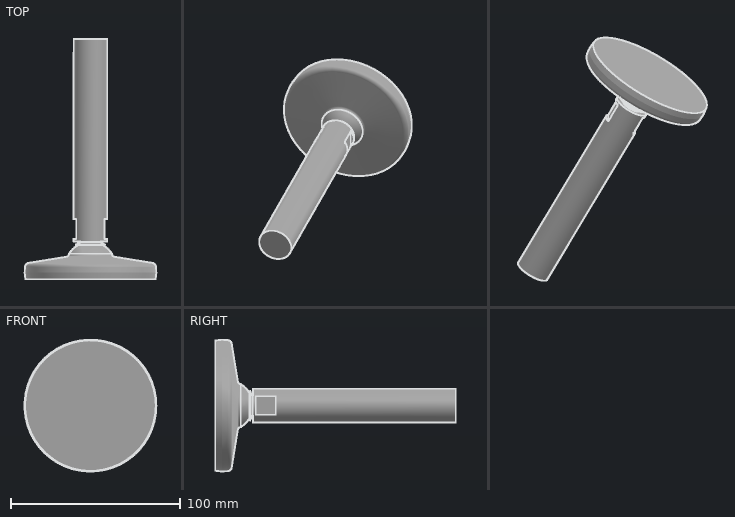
import cadquery as cq
import math

TOTAL_LENGTH = 142.0
UNDERSIDE_Y = -TOTAL_LENGTH / 2

FOOT_RADIUS = 78.0 / 2
FOOT_EDGE_RADIUS = 38.5
RIM_WIDEST_HEIGHT = 4.0
RIM_TOP_RADIUS = 38.8
RIM_TOP_HEIGHT = 7.0
SHOULDER_RADIUS = 35.9
SHOULDER_HEIGHT = 10.0
CONE_TOP_RADIUS = 14.0
CONE_TOP_HEIGHT = 13.5
DOME_BASE_HEIGHT = 15.0
DOME_SPHERE_RADIUS = 14.9
DOME_CENTER_HEIGHT = 7.4
SEAT_HEIGHT = 20.2

STEM_RADIUS = 20.0 / 2
STEM_START_HEIGHT = 22.3
NECK_RADIUS = 6.0
NECK_LENGTH = 0.4
COLLAR_RADIUS = 8.8
COLLAR_HEIGHT = 20.6
COLLAR_SEAT_RADIUS = 7.7
FLAT_HALF_WIDTH = 8.4
FLAT_START_HEIGHT = 24.0
FLAT_LENGTH = 11.6


def dome_radius(height):
    """Radius of the dome's sphere at a height above the underside."""
    return math.sqrt(DOME_SPHERE_RADIUS**2 - (height - DOME_CENTER_HEIGHT) ** 2)


def revolve_about_axis(profile):
    """Turn a closed (radius, height) profile about Y and place it along the part."""
    return profile.close().revolve(360, (0, 0), (0, 1)).translate((0, UNDERSIDE_Y, 0))


def make_foot():
    """Round foot: bulged rim, rounded shoulder, shallow cone and filleted domed hub."""
    dome_middle_height = (DOME_BASE_HEIGHT + SEAT_HEIGHT) / 2
    round_depth = RIM_TOP_RADIUS - SHOULDER_RADIUS
    round_height = SHOULDER_HEIGHT - RIM_TOP_HEIGHT
    round_middle = (
        SHOULDER_RADIUS + round_depth * math.sin(math.pi / 4),
        RIM_TOP_HEIGHT + round_height * math.sin(math.pi / 4),
    )
    profile = (
        cq.Workplane("XY")
        .lineTo(FOOT_EDGE_RADIUS, 0)
        .lineTo(FOOT_RADIUS, RIM_WIDEST_HEIGHT)
        .lineTo(RIM_TOP_RADIUS, RIM_TOP_HEIGHT)
        .threePointArc(round_middle, (SHOULDER_RADIUS, SHOULDER_HEIGHT))
        .lineTo(CONE_TOP_RADIUS, CONE_TOP_HEIGHT)
        .tangentArcPoint((dome_radius(DOME_BASE_HEIGHT), DOME_BASE_HEIGHT), relative=False)
        .threePointArc(
            (dome_radius(dome_middle_height), dome_middle_height),
            (dome_radius(SEAT_HEIGHT), SEAT_HEIGHT),
        )
        .lineTo(0, SEAT_HEIGHT)
    )
    return revolve_about_axis(profile)


def make_flat_cutter(side):
    """Block that cuts the wrench flat on the +X (side=1) or -X (side=-1) of the stem."""
    return (
        cq.Workplane("XY")
        .box(STEM_RADIUS, FLAT_LENGTH, 2 * STEM_RADIUS)
        .translate((
            side * (FLAT_HALF_WIDTH + STEM_RADIUS / 2),
            UNDERSIDE_Y + FLAT_START_HEIGHT + FLAT_LENGTH / 2,
            0,
        ))
    )


def make_stem():
    """Plain round stem with a necked collar at the foot and two wrench flats."""
    profile = (
        cq.Workplane("XY")
        .moveTo(0, SEAT_HEIGHT)
        .lineTo(COLLAR_SEAT_RADIUS, SEAT_HEIGHT)
        .lineTo(COLLAR_RADIUS, COLLAR_HEIGHT)
        .lineTo(NECK_RADIUS, STEM_START_HEIGHT - NECK_LENGTH)
        .lineTo(NECK_RADIUS, STEM_START_HEIGHT)
        .lineTo(STEM_RADIUS, STEM_START_HEIGHT)
        .lineTo(STEM_RADIUS, TOTAL_LENGTH)
        .lineTo(0, TOTAL_LENGTH)
    )
    stem = revolve_about_axis(profile)
    for side in (-1, 1):
        stem = stem.cut(make_flat_cutter(side))
    return stem


foot = make_foot()
stem = make_stem()
result = cq.Compound.makeCompound([foot.val(), stem.val()])